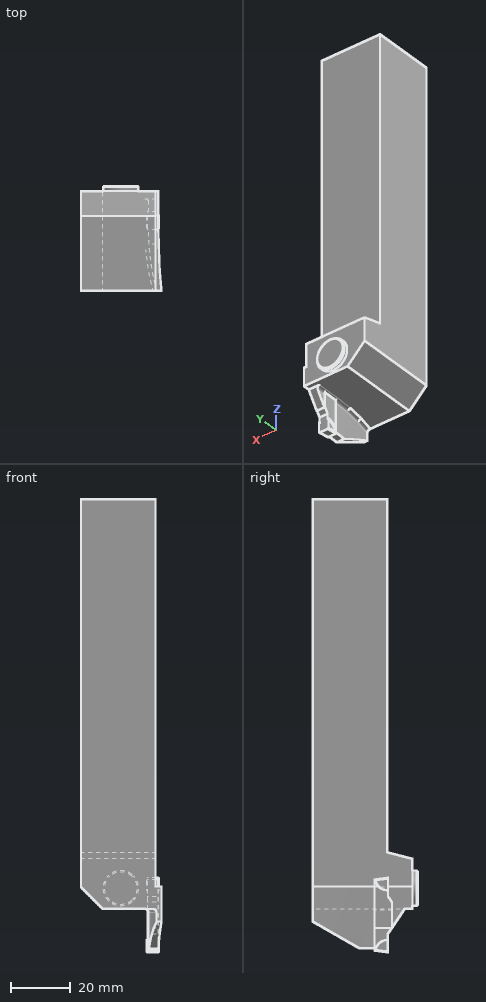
import cadquery as cq

SHANK = 25.0
TOTAL_LENGTH = 151.4
HEAD_BOTTOM = 14.5
HEAD_DEPTH = 33.3
HEAD_SLOPE_LOW = 31.3
HEAD_SLOPE_HIGH = 33.5
HEAD_CHAMFER = 7.3

SCREW_DIAMETER = 11.8
SCREW_X = 13.3
SCREW_Z = 21.5
SCREW_HEIGHT = 1.8
SCREW_CHAMFER = 0.5

BLADE_TOP = 22.1
BLADE_BOTTOM = 1.4
BLADE_INNER_X = 22.5
BLADE_FRONT_INNER_X = 25.3
BLADE_OUTER_X = 27.0
BLADE_OUTER_MID_X = 26.26
BLADE_OUTER_MID_Y = 8.3
BLADE_BACK_OUTER_X = 25.9
BLADE_ROOT_X = 18.2
BLADE_FRONT_Z = 10.3
BLADE_HEEL_Y = 15.6
JAW_BACK_Y = 30.7
BLADE_ROOT_FILLET = 1.2

INSERT_LENGTH = 25.0
INSERT_SEAT_Y = 20.6
INSERT_RAKE_Y = 25.1
INSERT_BACK_Y = 26.5
INSERT_RAKE_END = 6.2
INSERT_BACK_START = 8.2
INSERT_CLEARANCE = 0.6
TIP_LEFT_X = 22.0
TIP_RIGHT_X = 26.0
TIP_SIDE_RELIEF = 0.3
TIP_RADIUS = 4.2
TIP_CORNER_CHAMFER = 0.3


def extrude_along_x(points, start_x, end_x):
    """Extrude a (Y, Z) polygon between two X positions."""
    return (
        cq.Workplane("YZ")
        .workplane(offset=start_x)
        .polyline(points)
        .close()
        .extrude(end_x - start_x)
    )


def make_shank():
    profile = [
        (0, HEAD_BOTTOM),
        (HEAD_DEPTH, HEAD_BOTTOM),
        (HEAD_DEPTH, HEAD_SLOPE_LOW),
        (SHANK, HEAD_SLOPE_HIGH),
        (SHANK, TOTAL_LENGTH),
        (0, TOTAL_LENGTH),
    ]
    shank = extrude_along_x(profile, 0, SHANK)
    return shank.edges("|Y and <X and <Z").chamfer(HEAD_CHAMFER)


def outer_face_plan(front_inner_x, height_start):
    """Draw the blade plan from its front inner corner along the outer face to the back."""
    return (
        cq.Workplane("XY", origin=(0, 0, height_start))
        .moveTo(front_inner_x, 0)
        .lineTo(BLADE_OUTER_X, 0)
        .threePointArc((BLADE_OUTER_MID_X, BLADE_OUTER_MID_Y), (BLADE_BACK_OUTER_X, INSERT_SEAT_Y))
        .lineTo(BLADE_BACK_OUTER_X, HEAD_DEPTH)
    )


def make_blade():
    web = (
        outer_face_plan(BLADE_FRONT_INNER_X, 0)
        .lineTo(BLADE_INNER_X, HEAD_DEPTH)
        .lineTo(BLADE_INNER_X, INSERT_SEAT_Y)
        .tangentArcPoint((BLADE_FRONT_INNER_X, 0), relative=False)
        .close()
        .extrude(HEAD_BOTTOM)
    )
    root = (
        outer_face_plan(BLADE_ROOT_X, HEAD_BOTTOM)
        .lineTo(BLADE_ROOT_X, HEAD_DEPTH)
        .close()
        .extrude(BLADE_TOP - HEAD_BOTTOM)
    )
    margin = 0.2
    inner_corner = cq.selectors.BoxSelector(
        (BLADE_ROOT_X + margin, margin, HEAD_BOTTOM - margin),
        (BLADE_FRONT_INNER_X, HEAD_DEPTH - margin, HEAD_BOTTOM + margin),
    )
    blank = web.union(root).edges(inner_corner).fillet(BLADE_ROOT_FILLET)

    profile = [
        (0, BLADE_FRONT_Z),
        (BLADE_HEEL_Y, BLADE_BOTTOM),
        (INSERT_SEAT_Y, BLADE_BOTTOM),
        (INSERT_SEAT_Y, INSERT_BACK_START),
        (INSERT_BACK_Y, INSERT_BACK_START),
        (JAW_BACK_Y, HEAD_BOTTOM),
        (HEAD_DEPTH, HEAD_BOTTOM),
        (HEAD_DEPTH, BLADE_TOP),
        (0, BLADE_TOP),
    ]
    return blank.intersect(extrude_along_x(profile, 0, BLADE_OUTER_X))


def make_screw_head():
    return (
        cq.Workplane("XZ", origin=(SCREW_X, HEAD_DEPTH, SCREW_Z))
        .circle(SCREW_DIAMETER / 2)
        .extrude(-SCREW_HEIGHT)
        .faces(">Y")
        .chamfer(SCREW_CHAMFER)
    )


def insert_outline():
    """Lower half of the (Y, Z) outline, followed by its mirror image."""
    lower = [
        (INSERT_SEAT_Y, INSERT_CLEARANCE),
        (INSERT_RAKE_Y, 0),
        (INSERT_RAKE_Y, INSERT_RAKE_END),
        (INSERT_BACK_Y, INSERT_BACK_START),
    ]
    upper = [(y, INSERT_LENGTH - z) for y, z in reversed(lower)]
    return lower + upper


def make_insert():
    outline = insert_outline()
    insert = extrude_along_x(outline, TIP_LEFT_X + TIP_SIDE_RELIEF, TIP_RIGHT_X - TIP_SIDE_RELIEF)
    full_width = extrude_along_x(outline, TIP_LEFT_X, TIP_RIGHT_X)
    for end_face in ("<Z", ">Z"):
        full_width = full_width.faces(end_face).edges("<X or >X").chamfer(TIP_CORNER_CHAMFER)
    for tip_z in (0, INSERT_LENGTH):
        tip_zone = (
            cq.Workplane("YZ", origin=(TIP_LEFT_X, INSERT_RAKE_Y, tip_z))
            .circle(TIP_RADIUS)
            .extrude(TIP_RIGHT_X - TIP_LEFT_X)
        )
        insert = insert.union(full_width.intersect(tip_zone))
    return insert


def make_holder(insert):
    body = make_shank().union(make_blade())
    return body.union(make_screw_head()).cut(insert)


insert = make_insert()
holder = make_holder(insert)
result = cq.Compound.makeCompound([holder.solids().val(), insert.solids().val()])